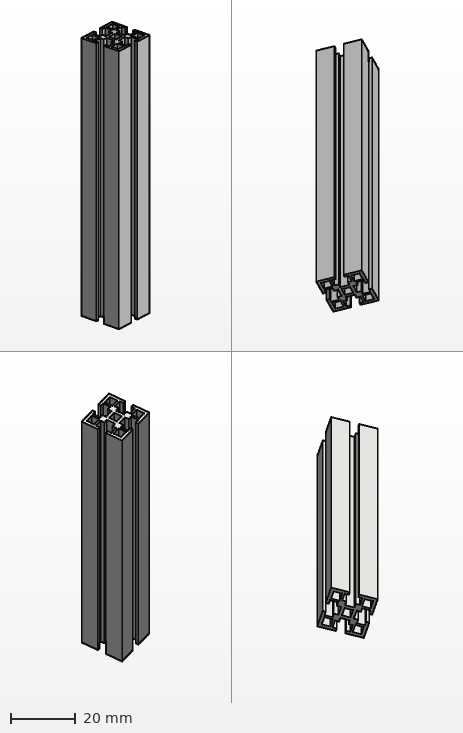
import cadquery as cq

profile_size = 15.0
length = 95.0

slot_opening = 3.0
slot_inner_width = 5.7
lip_thickness = 1.0
shoulder_depth = 3.6
slot_depth = 5.0

core_hole_size = 2.75
corner_hole_size = 2.75
corner_hole_wall = 1.15

half_size = profile_size / 2
corner_hole_offset = half_size - corner_hole_wall - corner_hole_size / 2


def square_bar(size):
    return cq.Workplane("XY").rect(size, size).extrude(length)


def slot_step(start_depth, end_depth, width):
    """Rectangular cutter between two depths below the +X face."""
    middle = half_size - (start_depth + end_depth) / 2
    step_depth = end_depth - start_depth
    return cq.Workplane("XY").center(middle, 0).rect(step_depth, width).extrude(length)


def side_slot(angle):
    """T-slot cutter for the +X side, turned about Z by the given angle."""
    neck = slot_step(0, slot_depth, slot_opening)
    chamber = slot_step(lip_thickness, shoulder_depth, slot_inner_width)
    return neck.union(chamber).rotate((0, 0, 0), (0, 0, 1), angle)


def corner_holes():
    """Four square cutters, one in each corner of the profile."""
    spacing = 2 * corner_hole_offset
    return (
        cq.Workplane("XY")
        .rect(spacing, spacing, forConstruction=True)
        .vertices()
        .rect(corner_hole_size, corner_hole_size)
        .extrude(length)
    )


result = square_bar(profile_size)
for slot_angle in (0, 90, 180, 270):
    result = result.cut(side_slot(slot_angle))
result = result.cut(square_bar(core_hole_size))
result = result.cut(corner_holes())